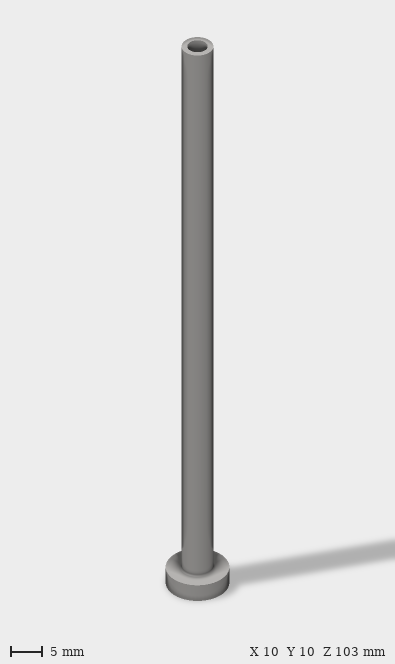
import cadquery as cq
import math

total_length = 103.0
head_diameter = 10.0
head_height = 3.0
shaft_diameter = 5.0
bore_diameter = 3.2
root_fillet_radius = 0.3

head_radius = head_diameter / 2
shaft_radius = shaft_diameter / 2
bore_radius = bore_diameter / 2
fillet_mid_offset = root_fillet_radius * (1 - math.sqrt(0.5))


def make_half_section():
    """Half section of the sleeve in the XZ plane, on the -X side of its axis.

    The head rests on Z = 0 and the inner edge is the straight through bore.
    """
    fillet_top = (-shaft_radius, head_height + root_fillet_radius)
    fillet_middle = (-shaft_radius - fillet_mid_offset, head_height + fillet_mid_offset)
    fillet_bottom = (-shaft_radius - root_fillet_radius, head_height)
    return (
        cq.Workplane("XZ")
        .moveTo(-bore_radius, total_length)
        .lineTo(-shaft_radius, total_length)
        .lineTo(*fillet_top)
        .threePointArc(fillet_middle, fillet_bottom)
        .lineTo(-head_radius, head_height)
        .lineTo(-head_radius, 0)
        .lineTo(-bore_radius, 0)
        .close()
    )


def make_sleeve():
    """Headed sleeve, turned about the Z axis."""
    axis_start = (0, 0, 0)
    axis_end = (0, 1, 0)
    return make_half_section().revolve(360, axis_start, axis_end)


result = make_sleeve()